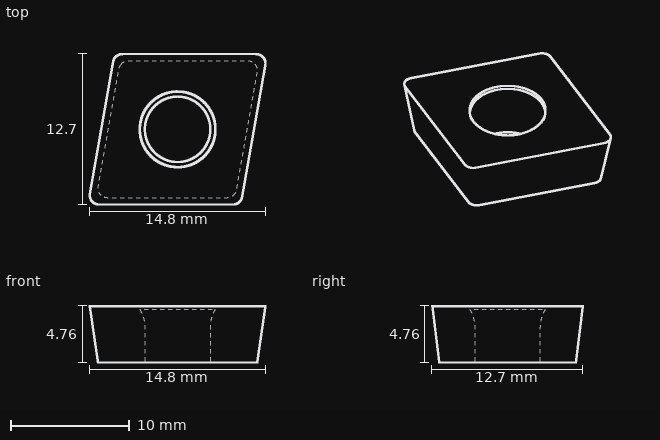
import cadquery as cq
import math

inscribed_diameter = 12.7
thickness = 4.76
nose_angle = 80.0
relief_angle = 7.0
nose_radius = 0.8

bore_diameter = 5.5
mouth_diameter = 6.42
shoulder_diameter = 6.33
mouth_depth = 0.3
seat_radius = 2.97


def rounded_rhombus(side_distance, z):
    """Wire of a rhombus with rounded corners, two sides parallel to X."""
    angle = math.radians(nose_angle)
    side = side_distance / math.sin(angle)
    half_height = side_distance / 2
    lean = half_height / math.tan(angle)
    corners = [
        (-side / 2 - lean, -half_height),
        (side / 2 - lean, -half_height),
        (side / 2 + lean, half_height),
        (-side / 2 + lean, half_height),
    ]
    wire = cq.Workplane("XY", origin=(0, 0, z)).polyline(corners).close().val()
    return wire.fillet2D(nose_radius, wire.Vertices())


def insert_body():
    """Solid block tapering inward from the top face to the bottom face."""
    flank_inset = thickness * math.tan(math.radians(relief_angle))
    bottom = rounded_rhombus(inscribed_diameter - 2 * flank_inset, 0)
    top = rounded_rhombus(inscribed_diameter, thickness)
    return cq.Workplane(cq.Solid.makeLoft([bottom, top], True))


def screw_hole():
    """Revolved cutter: straight bore, rounded seat and conical mouth."""
    bore_radius = bore_diameter / 2
    mouth_radius = mouth_diameter / 2
    shoulder_radius = shoulder_diameter / 2
    seat_width = shoulder_radius - bore_radius
    seat_height = math.sqrt(seat_radius**2 - (seat_radius - seat_width) ** 2)
    seat_top = thickness - mouth_depth
    seat_bottom = seat_top - seat_height
    half_sweep = math.asin(seat_height / seat_radius) / 2
    seat_middle = (
        bore_radius + seat_radius * (1 - math.cos(half_sweep)),
        seat_bottom + seat_radius * math.sin(half_sweep),
    )
    return (
        cq.Workplane("XZ")
        .lineTo(bore_radius, 0)
        .lineTo(bore_radius, seat_bottom)
        .threePointArc(seat_middle, (shoulder_radius, seat_top))
        .lineTo(mouth_radius, thickness)
        .lineTo(0, thickness)
        .close()
        .revolve(360, (0, 0, 0), (0, 1, 0))
    )


result = insert_body().cut(screw_hole())